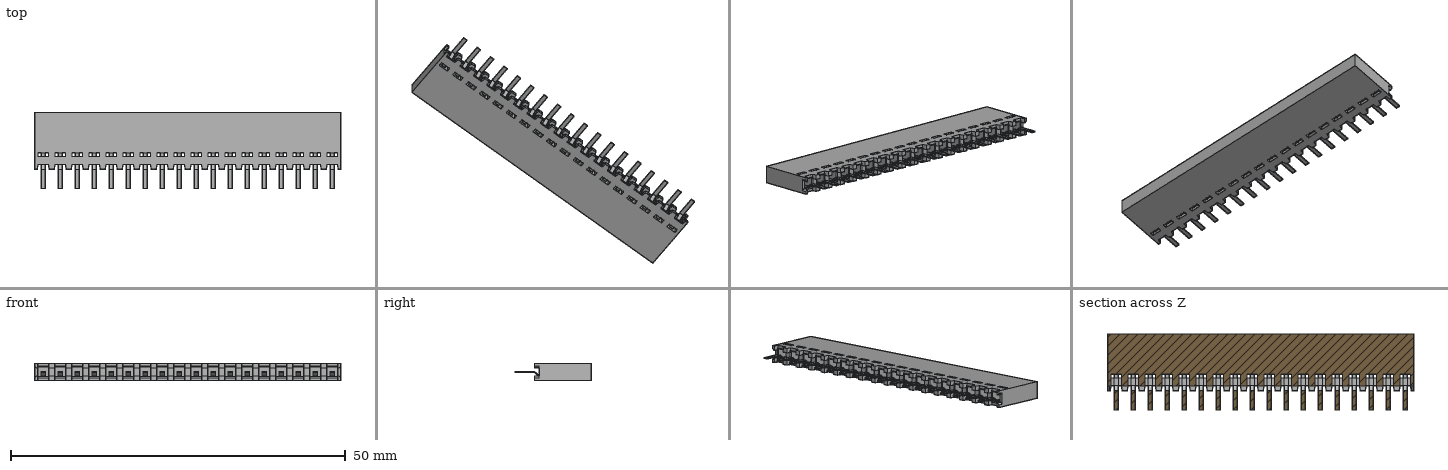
import cadquery as cq
import math

contact_count = 18
length = 45.7
height = 2.55
depth = 8.5
pitch = length / contact_count

lip_thickness = 0.7
channel_depth = 0.7
channel_height = height - 2 * lip_thickness
end_lip_thickness = 0.4
end_bevel = lip_thickness - end_lip_thickness
end_channel_height = height - 2 * end_lip_thickness

notch_base_width = 1.5
notch_front_width = 1.8

cavity_width = notch_base_width
flare_depth = 0.15
side_flare = 0.1
floor_flare = 0.16
mouth_width = cavity_width + 2 * side_flare
mouth_height = end_channel_height
cavity_height = mouth_height - 2 * floor_flare

slot_front = 1.9
slot_back = 2.45
slot_length = slot_back - slot_front

pin_width = 0.65
pin_thickness = 0.15
pin_reach = 2.9
pin_embed = 0.25
pin_drop = (cavity_height - pin_thickness) / 2
ramp_degrees = 38
ramp_angle = math.radians(ramp_degrees)
ramp_length = pin_drop / math.tan(ramp_angle)
knee_offset = pin_thickness * math.tan(ramp_angle / 2)

contact_positions = [(i - (contact_count - 1) / 2) * pitch for i in range(contact_count)]


def make_housing():
    return cq.Workplane("XY").box(length, depth, height, centered=(True, False, True))


def make_channel():
    """Front channel, beveled wider in height where it runs out at both ends."""
    half_length = length / 2
    inner_x = half_length - end_bevel
    half = channel_height / 2
    end_half = end_channel_height / 2
    outline = [
        (-half_length, -end_half),
        (-inner_x, -half),
        (inner_x, -half),
        (half_length, -end_half),
        (half_length, end_half),
        (inner_x, half),
        (-inner_x, half),
        (-half_length, end_half),
    ]
    return cq.Workplane("XZ").polyline(outline).close().extrude(-channel_depth)


def make_opening():
    """Lip notch, flared cavity and vertical slot of one contact."""
    notch = (
        cq.Workplane("XY", origin=(0, 0, -height / 2))
        .polyline([
            (-notch_front_width / 2, 0),
            (notch_front_width / 2, 0),
            (notch_base_width / 2, channel_depth),
            (-notch_base_width / 2, channel_depth),
        ])
        .close()
        .extrude(height)
    )
    mouth = (
        cq.Workplane("XZ", origin=(0, channel_depth, 0))
        .rect(mouth_width, mouth_height)
        .workplane(offset=-flare_depth)
        .rect(cavity_width, cavity_height)
        .loft(ruled=True)
    )
    cavity = (
        cq.Workplane("XZ", origin=(0, channel_depth, 0))
        .rect(cavity_width, cavity_height)
        .extrude(channel_depth - slot_back)
    )
    slot = (
        cq.Workplane("XY", origin=(0, slot_front, 0))
        .box(cavity_width, slot_length, height, centered=(True, False, True))
    )
    return notch.union(mouth).union(cavity).union(slot)


def make_pin():
    """Strip lying on the cavity floor, ramping up and leaving level at mid height."""
    top = pin_thickness / 2
    floor = -cavity_height / 2
    outline = [
        (-pin_reach, -top),
        (-pin_reach, top),
        (0, top),
        (ramp_length, floor + pin_thickness),
        (slot_back + pin_embed, floor + pin_thickness),
        (slot_back + pin_embed, floor),
        (ramp_length - knee_offset, floor),
        (-knee_offset, -top),
    ]
    return (
        cq.Workplane("YZ")
        .polyline(outline)
        .close()
        .extrude(pin_width / 2, both=True)
    )


def repeat(feature):
    """Copies of one feature, one at every contact position."""
    return [feature.val().moved(cq.Location(cq.Vector(x, 0, 0))) for x in contact_positions]


housing = make_housing().cut(make_channel()).val().cut(*repeat(make_opening()))
result = cq.Workplane(housing.fuse(*repeat(make_pin()))).solids()